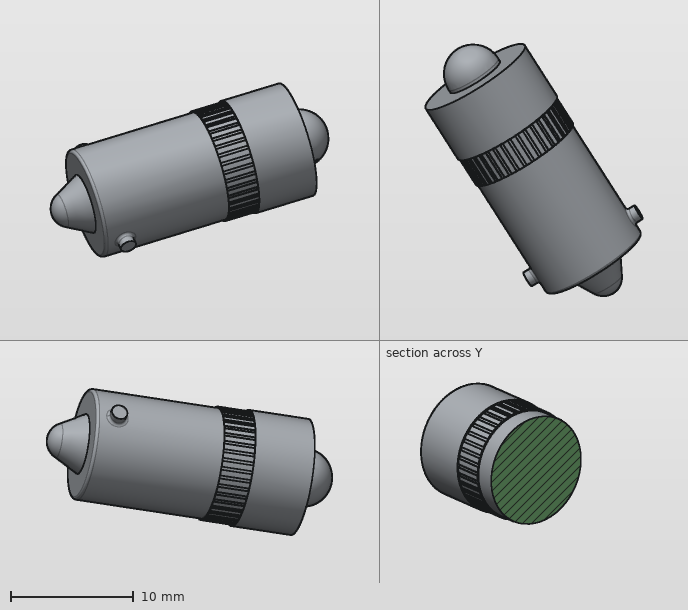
import cadquery as cq
import math


shell_radius = 4.575
shell_length = 10.8
shell_rim_fillet = 0.25

knurl_radius = 4.69
groove_root_radius = 4.63
knurl_length = 2.6
groove_count = 40
groove_pitch = 360 / groove_count
groove_angle = 3.1

collar_radius = 4.8
collar_length = 5.0

lens_radius = 2.4
lens_neck_length = 0.3

contact_base_radius = 2.48
contact_end_radius = 1.41
contact_cone_length = 2.0
contact_cap_height = 0.91

pin_radius = 0.66
pin_span = 10.67
pin_setback = 1.75
pin_root_fillet = 0.25

knurl_start = shell_length
collar_start = knurl_start + knurl_length
collar_end = collar_start + collar_length
lens_dome_start = collar_end + lens_neck_length


def cylinder_along_y(radius, start, length):
    return cq.Workplane("XZ", origin=(0, start, 0)).circle(radius).extrude(-length)


def make_shell_with_pins():
    shell = cylinder_along_y(shell_radius, 0, shell_length)
    shell = shell.faces("<Y").edges().fillet(shell_rim_fillet)
    pins = (
        cq.Workplane("YZ", origin=(-pin_span / 2, pin_setback, 0))
        .circle(pin_radius)
        .extrude(pin_span)
    )
    root_edges = cq.selectors.BoxSelector(
        (-shell_radius - pin_root_fillet / 2, pin_setback - pin_radius, -pin_radius),
        (shell_radius + pin_root_fillet / 2, pin_setback + pin_radius, pin_radius),
    )
    return shell.union(pins).edges(root_edges).fillet(pin_root_fillet)


def make_groove_cutter(start_angle):
    """Sector of a thin ring around the lamp axis, running clockwise seen from the tip."""

    def on_circle(radius, turn):
        angle = math.radians(start_angle - turn)
        return (radius * math.cos(angle), radius * math.sin(angle))

    return (
        cq.Workplane("XZ", origin=(0, knurl_start, 0))
        .moveTo(*on_circle(groove_root_radius, 0))
        .threePointArc(
            on_circle(groove_root_radius, groove_angle / 2),
            on_circle(groove_root_radius, groove_angle),
        )
        .lineTo(*on_circle(collar_radius, groove_angle))
        .threePointArc(on_circle(collar_radius, groove_angle / 2), on_circle(collar_radius, 0))
        .close()
        .extrude(-knurl_length)
    )


def make_knurled_band():
    """Cylinder with shallow axial grooves that are narrower than the ribs between them."""
    band = cylinder_along_y(knurl_radius, knurl_start, knurl_length)
    for index in range(groove_count):
        band = band.cut(make_groove_cutter(index * groove_pitch))
    return band


def make_lens():
    neck = cylinder_along_y(lens_radius, collar_end, lens_neck_length)
    dome = cq.Workplane("XY").sphere(lens_radius).translate((0, lens_dome_start, 0))
    return neck.union(dome)


def make_contact():
    cap_radius = (contact_end_radius**2 + contact_cap_height**2) / (2 * contact_cap_height)
    tip = -contact_cone_length - contact_cap_height
    cap_angle = math.asin(contact_end_radius / cap_radius) / 2
    cap_middle = (cap_radius * math.sin(cap_angle), tip + cap_radius * (1 - math.cos(cap_angle)))
    return (
        cq.Workplane("XY")
        .moveTo(0, 0)
        .lineTo(contact_base_radius, 0)
        .lineTo(contact_end_radius, -contact_cone_length)
        .threePointArc(cap_middle, (0, tip))
        .close()
        .revolve(360, (0, 0, 0), (0, 1, 0))
    )


collar = cylinder_along_y(collar_radius, collar_start, collar_length)
result = (
    make_shell_with_pins()
    .union(make_knurled_band())
    .union(collar)
    .union(make_lens())
    .union(make_contact())
)